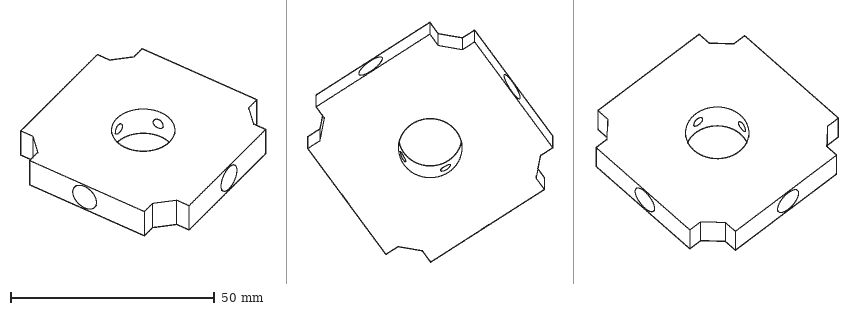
import cadquery as cq

side = 49.8
thickness = 8.0
half_side = side / 2

notch_size = 7.9
notch_ledge = 3.65

bore_diameter = 15.6
screw_diameter = 2.8
counterbore_diameter = 7.0
counterbore_depth = 25.0
cross_hole_offset = 0.7


def corner_notch():
    """Notch at the +X +Y corner, cut through the whole thickness."""
    inner = half_side - notch_size
    ledge_end = half_side - notch_ledge
    return (
        cq.Workplane("XY")
        .workplane(offset=-thickness / 2)
        .moveTo(half_side, half_side)
        .lineTo(inner, half_side)
        .lineTo(inner, ledge_end)
        .lineTo(ledge_end, inner)
        .lineTo(half_side, inner)
        .close()
        .extrude(thickness)
    )


def cross_hole():
    """Hole along Y through the plate, counterbored from both edges."""
    axis = cq.Workplane("XZ").center(-cross_hole_offset, 0)
    hole = axis.circle(screw_diameter / 2).extrude(half_side, both=True)
    for edge, inward in ((half_side, -0.5), (-half_side, 0.5)):
        counterbore = (
            axis.workplane(offset=edge)
            .circle(counterbore_diameter / 2)
            .extrude(inward * counterbore_depth)
        )
        hole = hole.union(counterbore)
    return hole


def turned(shape, angle):
    """Copy of a shape turned about the plate's central Z axis."""
    return shape.rotate((0, 0, 0), (0, 0, 1), angle)


result = cq.Workplane("XY").box(side, side, thickness)
for angle in (0, 90, 180, 270):
    result = result.cut(turned(corner_notch(), angle))
result = result.cut(cq.Workplane("XY").circle(bore_diameter / 2).extrude(thickness / 2, both=True))
for angle in (0, -90):
    result = result.cut(turned(cross_hole(), angle))